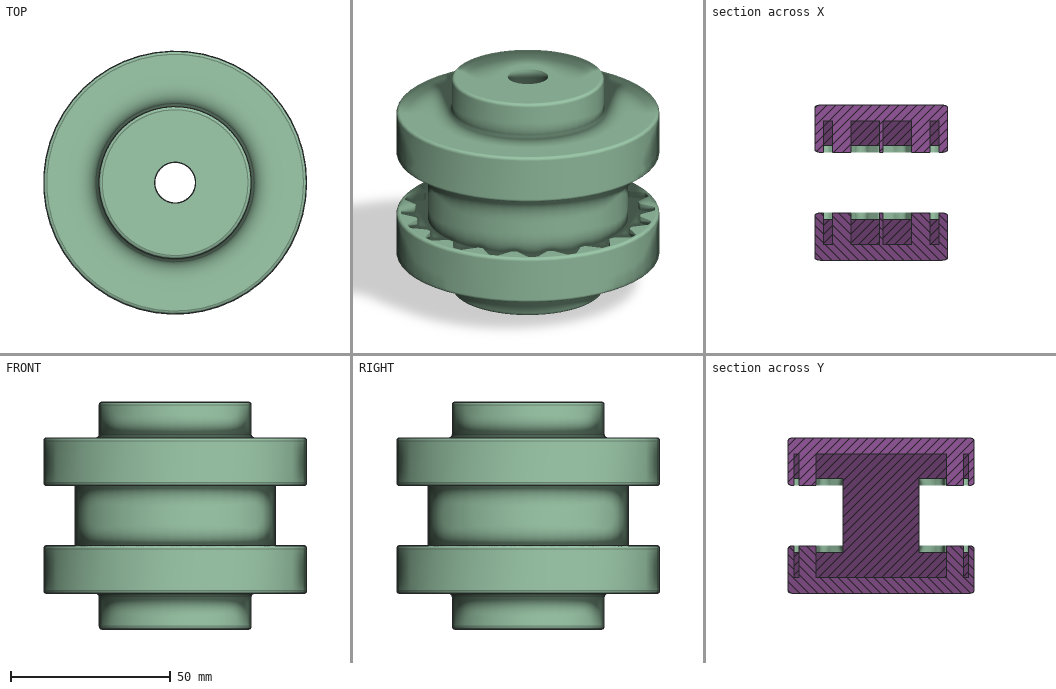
import cadquery as cq
import math

coupling_length = 71.3
flange_diameter = 82.5
boss_diameter = 47.7
sleeve_diameter = 62.9
bore_diameter = 12.7
flange_gap = 18.8
flange_thickness = 15.0
edge_radius = 1.0

tooth_count = 20
tooth_pitch_angle = 360 / tooth_count
root_radius = 39.85
tip_radius = 35.5
gap_width_at_root = 3.1
gap_width_at_tip = 9.4
tooth_corner_radius = 1.0

pocket_depth = 9.9
sleeve_tooth_recess = 2.15

flange_inner_z = flange_gap / 2
flange_outer_z = flange_inner_z + flange_thickness
boss_end_z = coupling_length / 2
pocket_floor_z = flange_inner_z + pocket_depth
sleeve_tooth_face_z = flange_inner_z + sleeve_tooth_recess


def cylinder(diameter, bottom_z, top_z):
    return cq.Workplane("XY").workplane(offset=bottom_z).circle(diameter / 2).extrude(top_z - bottom_z)


def polar_point(radius, angle):
    return (radius * math.cos(math.radians(angle)), radius * math.sin(math.radians(angle)))


def toothed_block(bottom_z, top_z):
    """Prism that fills a toothed pocket: tapered lobes lie in the gaps between the flange teeth."""
    root_half_angle = math.degrees(math.asin(gap_width_at_root / 2 / root_radius))
    tip_half_angle = math.degrees(math.asin(gap_width_at_tip / 2 / tip_radius))
    outline = (
        cq.Workplane("XY")
        .workplane(offset=bottom_z)
        .moveTo(*polar_point(tip_radius, tooth_pitch_angle / 2 - tip_half_angle))
    )
    for index in range(tooth_count):
        lobe_angle = (index + 0.5) * tooth_pitch_angle
        next_tooth_angle = lobe_angle + tooth_pitch_angle / 2
        next_lobe_start = lobe_angle + tooth_pitch_angle - tip_half_angle
        outline = (
            outline.lineTo(*polar_point(root_radius, lobe_angle - root_half_angle))
            .threePointArc(
                polar_point(root_radius, lobe_angle),
                polar_point(root_radius, lobe_angle + root_half_angle),
            )
            .lineTo(*polar_point(tip_radius, lobe_angle + tip_half_angle))
            .threePointArc(
                polar_point(tip_radius, next_tooth_angle),
                polar_point(tip_radius, next_lobe_start),
            )
        )
    block = outline.close().extrude(top_z - bottom_z)
    return block.edges("|Z").fillet(tooth_corner_radius)


def make_upper_hub():
    """Flange with a boss on its outer face and a toothed pocket in its inner face."""
    flange = cylinder(flange_diameter, flange_inner_z, flange_outer_z).edges().fillet(edge_radius)
    boss = cylinder(boss_diameter, flange_outer_z, boss_end_z).faces(">Z").edges().fillet(edge_radius)
    hub = flange.union(boss)
    boss_corner = cq.selectors.RadiusNthSelector(0)
    hub = hub.faces("<Z[-2]").edges(boss_corner).fillet(edge_radius)
    hub = hub.cut(toothed_block(flange_inner_z, pocket_floor_z))
    return hub.cut(cylinder(bore_diameter, flange_inner_z, boss_end_z))


def make_sleeve():
    """Tube whose toothed ends fill the flange pockets from their floors to the recessed tooth faces."""
    sleeve = cylinder(sleeve_diameter, -sleeve_tooth_face_z, sleeve_tooth_face_z)
    upper_teeth = toothed_block(sleeve_tooth_face_z, pocket_floor_z)
    sleeve = sleeve.union(upper_teeth).union(upper_teeth.mirror("XY"))
    return sleeve.cut(cylinder(bore_diameter, -pocket_floor_z, pocket_floor_z))


upper_hub = make_upper_hub()
lower_hub = upper_hub.mirror("XY")
sleeve = make_sleeve()

result = cq.Compound.makeCompound([upper_hub.val(), lower_hub.val(), sleeve.val()])